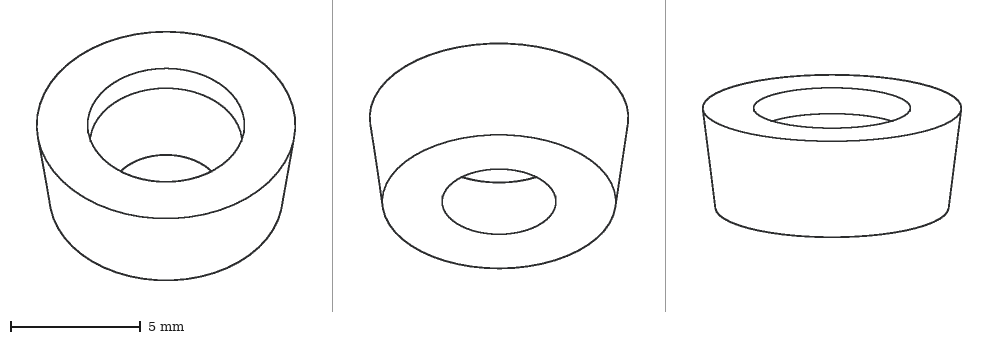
import cadquery as cq
import math

top_diameter = 9.99
thickness = 3.97
relief_angle = 7.0

bore_diameter = 4.4
recess_diameter = 6.05
recess_depth = 1.01
recess_fillet = 0.09
seat_radius = 4.1

top_radius = top_diameter / 2
bottom_radius = top_radius - thickness * math.tan(math.radians(relief_angle))
bore_radius = bore_diameter / 2
recess_radius = recess_diameter / 2
recess_floor_z = thickness - recess_depth

seat_rim_radius = recess_radius - recess_fillet
fillet_center_z = recess_floor_z + recess_fillet
fillet_mid_offset = recess_fillet * math.sqrt(0.5)
fillet_mid = (seat_rim_radius + fillet_mid_offset, fillet_center_z - fillet_mid_offset)

rim_angle = math.acos(1 - (seat_rim_radius - bore_radius) / seat_radius)
seat_bottom_z = recess_floor_z - seat_radius * math.sin(rim_angle)


def seat_point(angle):
    """Point (radius, z) on the seat arc, measured up from the bore tangent."""
    return (
        bore_radius + seat_radius * (1 - math.cos(angle)),
        seat_bottom_z + seat_radius * math.sin(angle),
    )


half_section = (
    cq.Workplane("XZ")
    .moveTo(bore_radius, 0)
    .lineTo(bottom_radius, 0)
    .lineTo(top_radius, thickness)
    .lineTo(recess_radius, thickness)
    .lineTo(recess_radius, fillet_center_z)
    .threePointArc(fillet_mid, (seat_rim_radius, recess_floor_z))
    .threePointArc(seat_point(rim_angle / 2), seat_point(0))
    .close()
)

result = half_section.revolve(360, (0, 0, 0), (0, 1, 0))